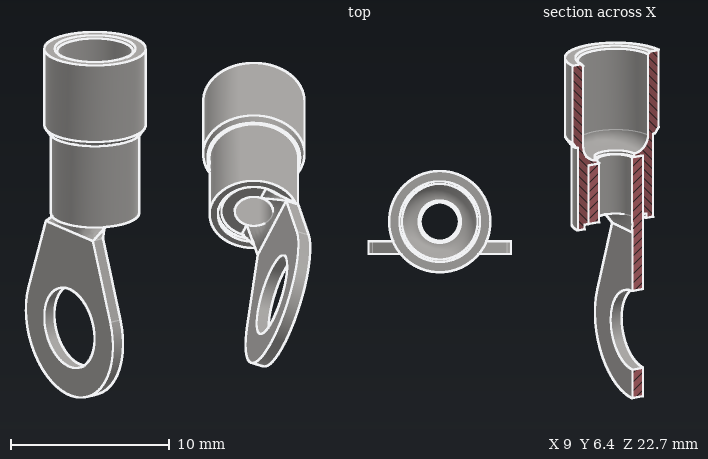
import cadquery as cq
import math


RING_RADIUS = 4.5
HOLE_RADIUS = 2.59
TONGUE_THICKNESS = 0.82
NECK_HALF_WIDTH = 2.43
NECK_Z = 6.47

BARREL_RADIUS = 2.05
BARREL_BORE_RADIUS = 1.2
BARREL_BOTTOM_Z = 7.54
TONGUE_FRONT_Y = -BARREL_RADIUS
TONGUE_BACK_Y = TONGUE_FRONT_Y + TONGUE_THICKNESS

TOTAL_HEIGHT = 22.7
SLEEVE_TOP_Z = TOTAL_HEIGHT - RING_RADIUS
SLEEVE_BOTTOM_Z = 7.25
COLLAR_RADIUS = 3.2
COLLAR_HEIGHT = 5.1
COLLAR_TAPER_HEIGHT = 0.39
COLLAR_TAPER_RADIUS = 2.93
GRIP_RADIUS = 2.8
BEND_RELIEF_RADIUS = 2.27
MOUTH_RADIUS = 2.55
MOUTH_CHAMFER = 0.15
FUNNEL_BOTTOM_RADIUS = 1.35
COLLAR_BOTTOM_Z = SLEEVE_TOP_Z - COLLAR_HEIGHT
STEP_Z = COLLAR_BOTTOM_Z - COLLAR_TAPER_HEIGHT
CAVITY_RADIUS = MOUTH_RADIUS - MOUTH_CHAMFER
FUNNEL_RADIUS = CAVITY_RADIUS - FUNNEL_BOTTOM_RADIUS
FUNNEL_BOTTOM_Z = STEP_Z - FUNNEL_RADIUS
LIP_HEIGHT = 0.23
BARREL_TOP_Z = FUNNEL_BOTTOM_Z - LIP_HEIGHT


def make_tongue():
    """Flat ring whose sides run tangentially up to the narrow neck."""
    neck_distance = math.hypot(NECK_HALF_WIDTH, NECK_Z)
    tangent_angle = math.atan2(NECK_Z, NECK_HALF_WIDTH) - math.acos(RING_RADIUS / neck_distance)
    tangent_x = RING_RADIUS * math.cos(tangent_angle)
    tangent_z = RING_RADIUS * math.sin(tangent_angle)
    return (
        cq.Workplane("XZ", origin=(0, TONGUE_BACK_Y, 0))
        .moveTo(-NECK_HALF_WIDTH, NECK_Z)
        .lineTo(NECK_HALF_WIDTH, NECK_Z)
        .lineTo(tangent_x, tangent_z)
        .threePointArc((0, -RING_RADIUS), (-tangent_x, tangent_z))
        .close()
        .moveTo(0, 0)
        .circle(HOLE_RADIUS)
        .extrude(TONGUE_THICKNESS)
    )


def half_circle_points(radius):
    """Left, front and right points of a half circle at the foot of the barrel."""
    return (
        cq.Vector(-radius, 0, BARREL_BOTTOM_Z),
        cq.Vector(0, -radius, BARREL_BOTTOM_Z),
        cq.Vector(radius, 0, BARREL_BOTTOM_Z),
    )


def make_transition():
    """Bend with straight rulings from the flat neck to the front half of the barrel wall."""
    neck_corners = [
        cq.Vector(-NECK_HALF_WIDTH, TONGUE_FRONT_Y, NECK_Z),
        cq.Vector(NECK_HALF_WIDTH, TONGUE_FRONT_Y, NECK_Z),
        cq.Vector(NECK_HALF_WIDTH, TONGUE_BACK_Y, NECK_Z),
        cq.Vector(-NECK_HALF_WIDTH, TONGUE_BACK_Y, NECK_Z),
    ]
    outer_left, outer_front, outer_right = half_circle_points(BARREL_RADIUS)
    inner_left, inner_front, inner_right = half_circle_points(BARREL_BORE_RADIUS)
    next_corners = neck_corners[1:] + neck_corners[:1]
    neck_edges = [cq.Edge.makeLine(start, end) for start, end in zip(neck_corners, next_corners)]
    wall_edges = [
        cq.Edge.makeThreePointArc(outer_left, outer_front, outer_right),
        cq.Edge.makeLine(outer_right, inner_right),
        cq.Edge.makeThreePointArc(inner_right, inner_front, inner_left),
        cq.Edge.makeLine(inner_left, outer_left),
    ]
    faces = [cq.Face.makeRuledSurface(low, high) for low, high in zip(neck_edges, wall_edges)]
    for edges in (neck_edges, wall_edges):
        faces.append(cq.Face.makeFromWires(cq.Wire.assembleEdges(edges)))
    return cq.Workplane(cq.Solid.makeSolid(cq.Shell.makeShell(faces)).fix())


def make_barrel():
    return (
        cq.Workplane("XY", origin=(0, 0, BARREL_BOTTOM_Z))
        .circle(BARREL_RADIUS)
        .circle(BARREL_BORE_RADIUS)
        .extrude(BARREL_TOP_Z - BARREL_BOTTOM_Z)
    )


def make_terminal():
    return make_tongue().union(make_transition()).union(make_barrel())


def make_sleeve():
    """Revolved sleeve: wide collar, tapered step, grip, and a rounded funnel leading to the barrel."""
    arc_reach = FUNNEL_RADIUS * math.sin(math.radians(45))
    funnel_middle = (FUNNEL_BOTTOM_RADIUS + arc_reach, STEP_Z - arc_reach)
    return (
        cq.Workplane("XZ")
        .moveTo(BEND_RELIEF_RADIUS, SLEEVE_BOTTOM_Z)
        .lineTo(GRIP_RADIUS, SLEEVE_BOTTOM_Z)
        .lineTo(GRIP_RADIUS, STEP_Z)
        .lineTo(COLLAR_TAPER_RADIUS, STEP_Z)
        .lineTo(COLLAR_RADIUS, COLLAR_BOTTOM_Z)
        .lineTo(COLLAR_RADIUS, SLEEVE_TOP_Z)
        .lineTo(MOUTH_RADIUS, SLEEVE_TOP_Z)
        .lineTo(CAVITY_RADIUS, SLEEVE_TOP_Z - MOUTH_CHAMFER)
        .lineTo(CAVITY_RADIUS, STEP_Z)
        .threePointArc(funnel_middle, (FUNNEL_BOTTOM_RADIUS, FUNNEL_BOTTOM_Z))
        .lineTo(FUNNEL_BOTTOM_RADIUS, BARREL_TOP_Z)
        .lineTo(BARREL_RADIUS, BARREL_TOP_Z)
        .lineTo(BARREL_RADIUS, BARREL_BOTTOM_Z)
        .lineTo(BEND_RELIEF_RADIUS, BARREL_BOTTOM_Z)
        .close()
        .revolve(360, (0, 0, 0), (0, 1, 0))
    )


terminal = make_terminal()
sleeve = make_sleeve()
result = cq.Compound.makeCompound([terminal.val(), sleeve.val()])